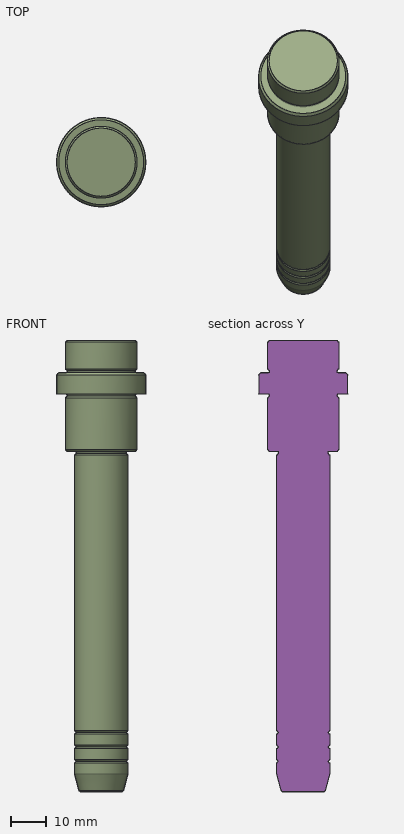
import cadquery as cq
import math

total_length = 126.0
head_radius = 20.0 / 2
flange_radius = 25.0 / 2
shaft_radius = 15.0 / 2

flange_top = 117.0
flange_bottom = 111.0
collar_bottom = 95.0

head_chamfer = 0.5
flange_chamfer = 0.6

relief_width = 1.0
relief_depth = 0.5
relief_corner_radius = 0.3

ring_count = 3
ring_pitch = 4.0
lowest_ring_height = 8.6
ring_width = 1.0
ring_depth = 0.5

taper_height = 5.0
taper_angle = 15.0
tip_chamfer = 0.4


def cylinder(bottom, top, radius):
    return cq.Workplane("XY").workplane(offset=bottom).circle(radius).extrude(top - bottom)


def cut_ring_groove(body, middle):
    """Cut a V-shaped ring groove into the shaft around the given height."""
    profile = (
        cq.Workplane("XZ")
        .moveTo(shaft_radius, middle - ring_width / 2)
        .lineTo(shaft_radius - ring_depth, middle)
        .lineTo(shaft_radius, middle + ring_width / 2)
    )
    return body.cut(profile.close().revolve(360, (0, 0), (0, 1)))


def cut_relief(body, shoulder, direction, radius):
    """Cut a relief that is rounded into the shoulder and sloped at its far side."""
    floor_radius = radius - relief_depth
    arc_inset = relief_corner_radius * (1 - math.sqrt(0.5))
    profile = (
        cq.Workplane("XZ")
        .moveTo(radius, shoulder)
        .lineTo(floor_radius + relief_corner_radius, shoulder)
        .threePointArc(
            (floor_radius + arc_inset, shoulder + direction * arc_inset),
            (floor_radius, shoulder + direction * relief_corner_radius),
        )
        .lineTo(floor_radius, shoulder + direction * (relief_width - relief_depth))
        .lineTo(radius, shoulder + direction * relief_width)
    )
    return body.cut(profile.close().revolve(360, (0, 0), (0, 1)))


head = cylinder(flange_top, total_length, head_radius).faces(">Z").chamfer(head_chamfer)
head = cut_relief(head, flange_top, 1, head_radius)

flange = cylinder(flange_bottom, flange_top, flange_radius).faces(">Z").chamfer(flange_chamfer)

collar = cylinder(collar_bottom, flange_bottom, head_radius).faces("<Z").chamfer(head_chamfer)
collar = cut_relief(collar, flange_bottom, -1, head_radius)

tip_radius = shaft_radius - taper_height * math.tan(math.radians(taper_angle))
shaft = cylinder(taper_height, collar_bottom, shaft_radius)
tip = (
    cq.Workplane("XY")
    .circle(tip_radius)
    .workplane(offset=taper_height)
    .circle(shaft_radius)
    .loft()
    .faces("<Z")
    .chamfer(tip_chamfer)
)
shaft = cut_relief(shaft.union(tip), collar_bottom, -1, shaft_radius)

for ring in range(ring_count):
    shaft = cut_ring_groove(shaft, lowest_ring_height + ring * ring_pitch)

result = shaft.union(collar).union(flange).union(head)